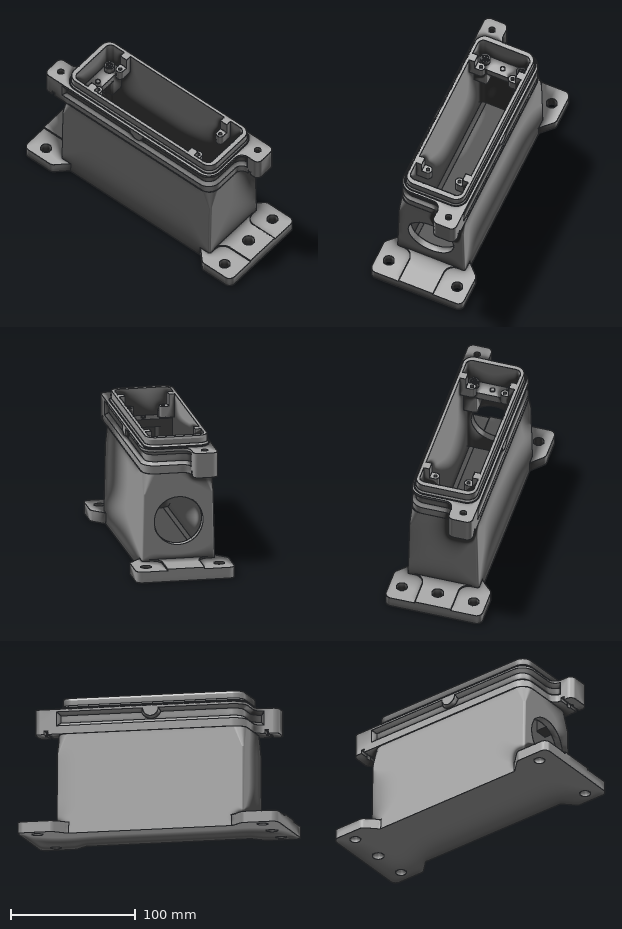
import cadquery as cq
import math


PLATE_LENGTH = 216.0
PLATE_WIDTH = 81.0
PLATE_THICKNESS = 9.0
PLATE_CORNER_RADIUS = 5.2
WAIST_HALF_LENGTH = 67.8
WAIST_WIDTH = 59.2
PLATE_HOLE_X = 93.3
PLATE_HOLE_Y = 30.0
PLATE_HOLE_DIAMETER = 8.6
EARTH_HOLE_DIAMETER = 9.5
PAD_TOP = 10.4
PAD_HALF_WIDTH = 15.1
PAD_FLARE_RADIUS = 8.6

BODY_LENGTH = 155.3
BODY_BASE_WIDTH = 60.0
BODY_TOP_WIDTH = 56.5
BODY_CORNER_RADIUS = 1.7
SHOULDER_RADIUS = 9.0
SHOULDER_Z = 64.8
CABLE_HOLE_Z = 41.7
CABLE_HOLE_DIAMETER = 40.0

FLANGE_BOTTOM = 81.6
FLANGE_TOP = 102.0
FLANGE_LENGTH = 155.5
FLANGE_WIDTH = 57.9
FLANGE_CORNER_RADIUS = 11.7
EAR_REACH = 96.1
EAR_INNER_Y = 8.9
EAR_CORNER_RADIUS = 4.8
EAR_NECK_RADIUS = 7.0
EAR_HOLE_X = 86.6
EAR_HOLE_Y = 19.5
EAR_HOLE_DIAMETER = 5.2
EAR_SLOT_WIDTH = 2.8
EAR_SLOT_DEPTH = 3.0

GROOVE_BOTTOM = 88.3
GROOVE_FLOOR_BOTTOM = 91.0
GROOVE_FLOOR_TOP = 96.8
GROOVE_TOP = 99.8
GROOVE_DEPTH = 3.0
PEG_ROOT_RADIUS = 8.5
PEG_FACE_RADIUS = 6.5

RIM_LENGTH = 150.1
RIM_WIDTH = 51.5
RIM_TOP = 111.0
RIM_CORNER_RADIUS = 8.6
RIM_LEAD_IN_HEIGHT = 2.2
RIM_LEAD_IN = 0.32
NECK_OFFSET = 0.9
BEAD_OFFSET = 1.5
BEAD_BOTTOM = 103.0
BEAD_EDGE_HEIGHT = 0.5

CAVITY_LENGTH = 141.3
LOWER_CAVITY_LENGTH = 143.9
CAVITY_WIDTH = 45.4
CAVITY_CORNER_RADIUS = 5.0
CAVITY_FLOOR_Z = 9.7
FLOOR_HALF_WIDTH = 18.0
FLOOR_RAMP_RISE = 1.3
FLOOR_FILLET_DROP = 3.9
FLOOR_FILLET_INSET = 1.3

LEDGE_X = 58.3
LEDGE_TOP = 88.1
LEDGE_BOTTOM = FLANGE_BOTTOM
PILLAR_BOTTOM = 64.8
PILLAR_INNER_Y = 11.2
PILLAR_EDGE_RADIUS = 1.7
PIN_X = 64.2
PIN_DIAMETER = 3.9
PIN_HEIGHT = 1.0

SCREW_X = 65.2
SCREW_Y = 16.0
SCREW_DIAMETER = 8.2
SCREW_TOP = 93.5
SOCKET_DIAMETER = 5.5
SOCKET_DEPTH = 1.0
SOCKET_BLADE_WIDTH = 1.0
SOCKET_BLADE_DEPTH = 2.5

TAB_X = 52.3
TAB_WIDTH = 6.7
TAB_STEP_Y = 18.0
TAB_BOSS_Y = 13.8
TAB_BOTTOM = 91.5
TAB_BOSS_TOP = 100.9
TAB_HOLE_DIAMETER = 2.5
TAB_HOLE_DEPTH = 4.3

OVERLAP = 1.0
QUADRANTS = [(sx, sy) for sx in (-1, 1) for sy in (-1, 1)]


def block(x0, x1, y0, y1, z0, z1):
    """Box between opposite corners, given in any order."""
    centre = ((x0 + x1) / 2, (y0 + y1) / 2, (z0 + z1) / 2)
    return cq.Workplane("XY").box(abs(x1 - x0), abs(y1 - y0), abs(z1 - z0)).translate(centre)


def post(x, y, diameter, z0, z1):
    """Upright cylinder."""
    return cq.Workplane("XY", origin=(x, y, z0)).circle(diameter / 2).extrude(z1 - z0)


def rounded_outline(length, width, radius):
    return cq.Sketch().rect(length, width).vertices().fillet(radius)


def rounded_prism(length, width, radius, z0, z1, taper=0):
    plane = cq.Workplane("XY", origin=(0, 0, z0))
    return plane.placeSketch(rounded_outline(length, width, radius)).extrude(z1 - z0, taper=taper)


def body_loft(z0, width0, radius0, z1, width1, radius1):
    """Tapered part of the body between two heights."""
    lower = rounded_outline(BODY_LENGTH, width0, radius0).moved(cq.Location(cq.Vector(0, 0, z0)))
    upper = rounded_outline(BODY_LENGTH, width1, radius1).moved(cq.Location(cq.Vector(0, 0, z1)))
    return cq.Workplane("XY").placeSketch(lower, upper).loft(ruled=True)


def mounting_plate():
    end_x = PLATE_LENGTH / 2
    side_y = PLATE_WIDTH / 2
    waist_y = WAIST_WIDTH / 2
    shoulder_x = WAIST_HALF_LENGTH + side_y - waist_y
    left_top = [(-end_x, side_y), (-shoulder_x, side_y), (-WAIST_HALF_LENGTH, waist_y)]
    top = left_top + [(-x, y) for x, y in reversed(left_top)]
    bottom = [(x, -y) for x, y in reversed(top)]
    plate = cq.Workplane("XY").polyline(top + bottom).close().extrude(PLATE_THICKNESS)
    return plate.edges("|Z").fillet(PLATE_CORNER_RADIUS)


def raised_pad():
    """Left raised strip of the plate, flaring where it meets the body."""
    body_x = -BODY_LENGTH / 2
    flare_x = body_x - PAD_FLARE_RADIUS
    flare_y = PAD_HALF_WIDTH + PAD_FLARE_RADIUS
    return (
        cq.Workplane("XY")
        .moveTo(-PLATE_LENGTH / 2, -PAD_HALF_WIDTH)
        .lineTo(flare_x, -PAD_HALF_WIDTH)
        .radiusArc((body_x, -flare_y), PAD_FLARE_RADIUS)
        .lineTo(body_x + OVERLAP, -flare_y)
        .lineTo(body_x + OVERLAP, flare_y)
        .lineTo(body_x, flare_y)
        .radiusArc((flare_x, PAD_HALF_WIDTH), PAD_FLARE_RADIUS)
        .lineTo(-PLATE_LENGTH / 2, PAD_HALF_WIDTH)
        .close()
        .extrude(PAD_TOP)
    )


def body():
    """Tapered body whose corners widen into the rounded flange."""
    taper_rate = (BODY_BASE_WIDTH - BODY_TOP_WIDTH) / FLANGE_BOTTOM
    shoulder_width = BODY_BASE_WIDTH - taper_rate * SHOULDER_Z
    wall = body_loft(0, BODY_BASE_WIDTH, BODY_CORNER_RADIUS, SHOULDER_Z, shoulder_width, BODY_CORNER_RADIUS)
    shoulder = body_loft(
        SHOULDER_Z, shoulder_width, BODY_CORNER_RADIUS, FLANGE_BOTTOM, BODY_TOP_WIDTH, SHOULDER_RADIUS
    )
    return wall.union(shoulder)


def flange_outline(inset, z):
    """Flange outline with an ear at two opposite corners, shrunk by an inset."""
    end_x = FLANGE_LENGTH / 2 - inset
    side_y = FLANGE_WIDTH / 2 - inset
    ear_x = EAR_REACH - inset
    ear_y = EAR_INNER_Y + inset
    corner = FLANGE_CORNER_RADIUS - inset
    ear_corner = EAR_CORNER_RADIUS - inset
    neck = EAR_NECK_RADIUS + inset
    return (
        cq.Workplane("XY", origin=(0, 0, z))
        .moveTo(ear_corner - ear_x, -side_y)
        .lineTo(end_x - corner, -side_y)
        .radiusArc((end_x, corner - side_y), -corner)
        .lineTo(end_x, ear_y - neck)
        .radiusArc((end_x + neck, ear_y), neck)
        .lineTo(ear_x - ear_corner, ear_y)
        .radiusArc((ear_x, ear_y + ear_corner), -ear_corner)
        .lineTo(ear_x, side_y - ear_corner)
        .radiusArc((ear_x - ear_corner, side_y), -ear_corner)
        .lineTo(corner - end_x, side_y)
        .radiusArc((-end_x, side_y - corner), -corner)
        .lineTo(-end_x, neck - ear_y)
        .radiusArc((-end_x - neck, -ear_y), neck)
        .lineTo(ear_corner - ear_x, -ear_y)
        .radiusArc((-ear_x, -ear_y - ear_corner), -ear_corner)
        .lineTo(-ear_x, ear_corner - side_y)
        .radiusArc((ear_corner - ear_x, -side_y), -ear_corner)
        .close()
    )


def flange_prism(inset, z0, z1):
    return flange_outline(inset, z0).extrude(z1 - z0)


def flange_flank(inset0, z0, inset1, z1):
    """Slanted groove flank between two outlines of the flange."""
    wires = [flange_outline(inset0, z0).val(), flange_outline(inset1, z1).val()]
    return cq.Workplane(cq.Solid.makeLoft(wires, True))


def half_turn(shape):
    """The shape together with its copy turned half way round Z."""
    return shape.union(shape.rotate((0, 0, 0), (0, 0, 1), 180))


def ear_fill():
    """Left ear left whole, where the groove stops with slanted ends."""
    groove_end = -FLANGE_LENGTH / 2
    face_y = -FLANGE_WIDTH / 2
    floor_y = face_y + GROOVE_DEPTH
    neck_x = groove_end - EAR_NECK_RADIUS
    neck_floor_y = -EAR_INNER_Y - GROOVE_DEPTH
    height = FLANGE_TOP - FLANGE_BOTTOM
    column = (
        cq.Workplane("XY", origin=(0, 0, FLANGE_BOTTOM))
        .moveTo(-EAR_REACH, face_y)
        .lineTo(groove_end, face_y)
        .lineTo(groove_end + GROOVE_DEPTH, floor_y)
        .lineTo(groove_end, neck_floor_y)
        .lineTo(neck_x + GROOVE_DEPTH, neck_floor_y)
        .lineTo(neck_x, -EAR_INNER_Y)
        .lineTo(-EAR_REACH, -EAR_INNER_Y)
        .close()
        .extrude(height)
    )
    return column.intersect(flange_prism(0, FLANGE_BOTTOM, FLANGE_TOP))


def groove_peg():
    """Tapered peg standing in the front run of the groove, flush with the flange."""
    floor_y = GROOVE_DEPTH - FLANGE_WIDTH / 2
    plane = cq.Workplane("XZ", origin=(0, floor_y + OVERLAP, GROOVE_TOP))
    draft = math.degrees(math.atan2(PEG_ROOT_RADIUS - PEG_FACE_RADIUS, GROOVE_DEPTH))
    root = plane.circle(PEG_ROOT_RADIUS).extrude(OVERLAP)
    tip = root.faces("<Y").workplane().circle(PEG_ROOT_RADIUS).extrude(GROOVE_DEPTH, taper=draft)
    below_lip = block(
        -EAR_REACH, EAR_REACH, -FLANGE_WIDTH, 0, FLANGE_BOTTOM, (GROOVE_TOP + FLANGE_TOP) / 2
    )
    return tip.intersect(below_lip)


def flange():
    shape = (
        flange_prism(0, FLANGE_BOTTOM, GROOVE_BOTTOM)
        .union(flange_flank(0, GROOVE_BOTTOM, GROOVE_DEPTH, GROOVE_FLOOR_BOTTOM))
        .union(flange_prism(GROOVE_DEPTH, GROOVE_FLOOR_BOTTOM, GROOVE_FLOOR_TOP))
        .union(flange_flank(GROOVE_DEPTH, GROOVE_FLOOR_TOP, 0, GROOVE_TOP))
        .union(flange_prism(0, GROOVE_TOP, FLANGE_TOP))
    )
    return shape.union(half_turn(ear_fill())).union(half_turn(groove_peg()))


def ear_cuts():
    """Hole through the left ear and the slot across its underside."""
    hole = post(-EAR_HOLE_X, -EAR_HOLE_Y, EAR_HOLE_DIAMETER, FLANGE_BOTTOM, FLANGE_TOP)
    slot = block(
        -EAR_HOLE_X - EAR_SLOT_WIDTH / 2,
        -EAR_HOLE_X + EAR_SLOT_WIDTH / 2,
        -FLANGE_WIDTH / 2,
        -EAR_INNER_Y,
        FLANGE_BOTTOM,
        FLANGE_BOTTOM + EAR_SLOT_DEPTH,
    )
    return hole.union(slot)


def rim_layer(offset, z0, z1, taper=0):
    """Slice of the rim, widened all round by an offset."""
    length = RIM_LENGTH + 2 * offset
    width = RIM_WIDTH + 2 * offset
    return rounded_prism(length, width, RIM_CORNER_RADIUS + offset, z0, z1, taper)


def rim():
    bead_edge = BEAD_BOTTOM + BEAD_EDGE_HEIGHT
    bead_top = bead_edge + BEAD_OFFSET
    lead_in_z = RIM_TOP - RIM_LEAD_IN_HEIGHT
    lead_in_angle = math.degrees(math.atan2(RIM_LEAD_IN, RIM_LEAD_IN_HEIGHT))
    return (
        rim_layer(0, FLANGE_TOP, lead_in_z)
        .union(rim_layer(NECK_OFFSET, FLANGE_TOP, BEAD_BOTTOM))
        .union(rim_layer(BEAD_OFFSET, BEAD_BOTTOM, bead_edge))
        .union(rim_layer(BEAD_OFFSET, bead_edge, bead_top, taper=45))
        .union(rim_layer(0, lead_in_z, RIM_TOP, taper=lead_in_angle))
    )


def cavity():
    """Open-topped hollow with filleted and ramped floor edges."""
    wall_y = CAVITY_WIDTH / 2
    ramp_y = wall_y - FLOOR_FILLET_INSET
    ramp_z = CAVITY_FLOOR_Z + FLOOR_RAMP_RISE
    fillet_z = ramp_z + FLOOR_FILLET_DROP
    radius = (FLOOR_FILLET_INSET**2 + FLOOR_FILLET_DROP**2) / (2 * FLOOR_FILLET_INSET)
    section = (
        cq.Workplane("YZ", origin=(-LOWER_CAVITY_LENGTH / 2, 0, 0))
        .moveTo(-FLOOR_HALF_WIDTH, CAVITY_FLOOR_Z)
        .lineTo(FLOOR_HALF_WIDTH, CAVITY_FLOOR_Z)
        .lineTo(ramp_y, ramp_z)
        .radiusArc((wall_y, fillet_z), -radius)
        .lineTo(wall_y, RIM_TOP)
        .lineTo(-wall_y, RIM_TOP)
        .lineTo(-wall_y, fillet_z)
        .radiusArc((-ramp_y, ramp_z), -radius)
        .close()
        .extrude(LOWER_CAVITY_LENGTH)
    )
    lower_bore = rounded_prism(
        LOWER_CAVITY_LENGTH, CAVITY_WIDTH, CAVITY_CORNER_RADIUS, CAVITY_FLOOR_Z, LEDGE_BOTTOM
    )
    upper_bore = rounded_prism(CAVITY_LENGTH, CAVITY_WIDTH, CAVITY_CORNER_RADIUS, LEDGE_BOTTOM, RIM_TOP)
    return section.intersect(lower_bore.union(upper_bore))


def ledge(sx):
    """Ledge across one end of the cavity with its locating pin."""
    end_x = CAVITY_LENGTH / 2 + OVERLAP
    side_y = CAVITY_WIDTH / 2 + OVERLAP
    shelf = block(sx * LEDGE_X, sx * end_x, -side_y, side_y, LEDGE_BOTTOM, LEDGE_TOP)
    return shelf.union(post(sx * PIN_X, 0, PIN_DIAMETER, LEDGE_TOP, LEDGE_TOP + PIN_HEIGHT))


def pillar(sx, sy):
    """Corner block under a ledge, rounded on its inner upright edge."""
    end_x = LOWER_CAVITY_LENGTH / 2 + OVERLAP
    side_y = CAVITY_WIDTH / 2 + OVERLAP
    corner = block(
        sx * LEDGE_X, sx * end_x, sy * PILLAR_INNER_Y, sy * side_y, PILLAR_BOTTOM, LEDGE_BOTTOM
    )
    inner_side = "<X" if sx > 0 else ">X"
    inner_end = "<Y" if sy > 0 else ">Y"
    return corner.faces(inner_side).edges("|Z").edges(inner_end).fillet(PILLAR_EDGE_RADIUS)


def screw(sx, sy):
    """Screw head with a cross socket."""
    x = sx * SCREW_X
    y = sy * SCREW_Y
    half_blade = SOCKET_BLADE_WIDTH / 2
    half_span = SOCKET_DIAMETER / 2
    blade_z = SCREW_TOP - SOCKET_BLADE_DEPTH
    head = post(x, y, SCREW_DIAMETER, LEDGE_TOP, SCREW_TOP)
    socket = post(x, y, SOCKET_DIAMETER, SCREW_TOP - SOCKET_DEPTH, SCREW_TOP)
    blade_x = block(x - half_span, x + half_span, y - half_blade, y + half_blade, blade_z, SCREW_TOP)
    blade_y = block(x - half_blade, x + half_blade, y - half_span, y + half_span, blade_z, SCREW_TOP)
    return head.cut(socket).cut(blade_x).cut(blade_y)


def tab(sx, sy):
    """Rib on the cavity wall with a lower, round-nosed and drilled foot."""
    x = sx * TAB_X
    boss_y = sy * TAB_BOSS_Y
    x0 = x - TAB_WIDTH / 2
    x1 = x + TAB_WIDTH / 2
    wall_y = sy * (CAVITY_WIDTH / 2 + OVERLAP)
    rib = block(x0, x1, sy * TAB_STEP_Y, wall_y, TAB_BOTTOM, RIM_TOP)
    foot = block(x0, x1, boss_y, wall_y, TAB_BOTTOM, TAB_BOSS_TOP)
    nose = post(x, boss_y, TAB_WIDTH, TAB_BOTTOM, TAB_BOSS_TOP)
    hole = post(x, boss_y, TAB_HOLE_DIAMETER, TAB_BOSS_TOP - TAB_HOLE_DEPTH, TAB_BOSS_TOP)
    return rib.union(foot).union(nose).cut(hole)


def cable_hole():
    """Round entry through the left end wall."""
    plane = cq.Workplane("YZ", origin=(-BODY_LENGTH / 2, 0, CABLE_HOLE_Z))
    return plane.circle(CABLE_HOLE_DIAMETER / 2).extrude((BODY_LENGTH - CAVITY_LENGTH) / 2 + OVERLAP)


result = mounting_plate().union(half_turn(raised_pad())).union(body()).union(flange()).union(rim())

result = result.cut(cavity()).cut(cable_hole()).cut(half_turn(ear_cuts()))
for sx, sy in QUADRANTS:
    mounting_hole = post(sx * PLATE_HOLE_X, sy * PLATE_HOLE_Y, PLATE_HOLE_DIAMETER, 0, PLATE_THICKNESS)
    result = result.cut(mounting_hole)
result = result.cut(post(PLATE_HOLE_X, 0, EARTH_HOLE_DIAMETER, 0, PAD_TOP))

for sx in (-1, 1):
    result = result.union(ledge(sx))
for sx, sy in QUADRANTS:
    result = result.union(pillar(sx, sy)).union(screw(sx, sy)).union(tab(sx, sy))